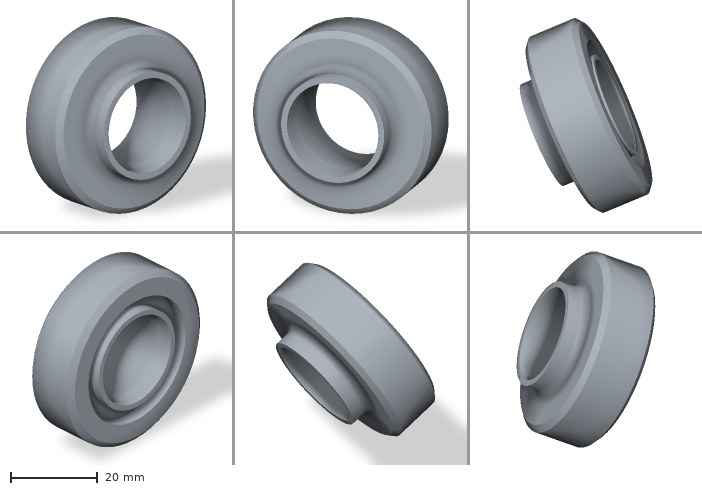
import cadquery as cq

total_length = 18.5
body_diameter = 44.0
body_length = 13.5
bore_diameter = 22.5

chamfer_length = 1.25
chamfer_height = 1.5

hub_diameter = 25.4
hub_fillet_radius = 2.0

groove_inner_diameter = 25.0
groove_outer_diameter = 32.0
groove_depth = 3.2

body_radius = body_diameter / 2
hub_radius = hub_diameter / 2
bore_radius = bore_diameter / 2

x_front = -total_length / 2
x_shoulder = x_front + body_length
x_end = x_front + total_length


def turned_profile():
    """Half section in the XY plane, with Y as the radius."""
    rim_radius = body_radius - chamfer_height
    return (
        cq.Workplane("XY")
        .moveTo(x_front, bore_radius)
        .lineTo(x_front, rim_radius)
        .lineTo(x_front + chamfer_length, body_radius)
        .lineTo(x_shoulder - chamfer_length, body_radius)
        .lineTo(x_shoulder, rim_radius)
        .lineTo(x_shoulder, hub_radius + hub_fillet_radius)
        .radiusArc((x_shoulder + hub_fillet_radius, hub_radius), -hub_fillet_radius)
        .lineTo(x_end, hub_radius)
        .lineTo(x_end, bore_radius)
        .close()
    )


def face_groove():
    """Ring-shaped cutter for the groove in the low-X face."""
    return (
        cq.Workplane("YZ", origin=(x_front, 0, 0))
        .circle(groove_outer_diameter / 2)
        .circle(groove_inner_diameter / 2)
        .extrude(groove_depth)
    )


ring = turned_profile().revolve(360, (0, 0, 0), (1, 0, 0))
result = ring.cut(face_groove())